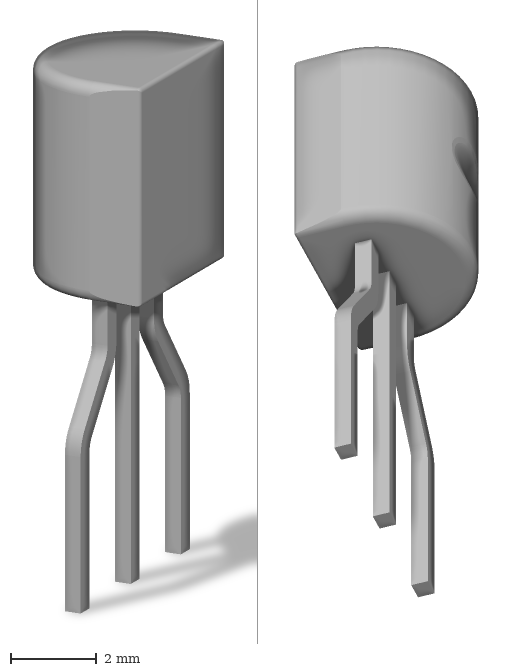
import cadquery as cq
import math


housing_height = 5.33
round_radius = 2.38
flat_face_x = 1.24
flat_half_width = 2.2
rim_radius = 0.3
flat_edge_radius = 0.1

dimple_radius = 1.3
dimple_depth = 0.15
dimple_edge_radius = 0.35
dimple_z = housing_height - 2.58

lead_width = 0.46
lead_thickness = 0.41
lead_length = 7.44
inner_pitch = 1.205
outer_pitch = 2.6
bend_start = 1.30
bend_angle = math.radians(37.8)
bend_radius = 0.77


def d_block(end_half_width):
    """Block with a round -X side, narrowing or straight sides, and a flat +X face."""
    return (
        cq.Workplane("XY")
        .moveTo(flat_face_x, -end_half_width)
        .lineTo(0, -round_radius)
        .threePointArc((-round_radius, 0), (0, round_radius))
        .lineTo(flat_face_x, end_half_width)
        .close()
        .extrude(housing_height)
    )


def make_housing():
    """D-shaped block with rounded rims, tapered sides and a dimple."""
    straight_block = d_block(round_radius)
    body = straight_block.faces("<Z or >Z").edges("not(>X)").fillet(rim_radius)
    body = body.intersect(d_block(flat_half_width))
    body = body.faces(">X").edges().fillet(flat_edge_radius)

    dimple_axis_x = -round_radius + dimple_depth - dimple_radius
    trough = (
        cq.Workplane("XZ")
        .center(dimple_axis_x, dimple_z)
        .circle(dimple_radius)
        .extrude(round_radius, both=True)
    )
    body = body.cut(trough)
    dimple_rim = cq.selectors.BoxSelector(
        (-2 * round_radius, -round_radius / 2, dimple_z - dimple_radius / 2),
        (-round_radius / 2, round_radius / 2, dimple_z + dimple_radius / 2),
    )
    return body.edges(dimple_rim).fillet(dimple_edge_radius)


def lead_profile(start_y):
    """Cross-section of a lead at the bottom of the housing."""
    return cq.Workplane("XY").center(-lead_thickness / 2, start_y).rect(lead_thickness, lead_width)


def make_straight_lead():
    return lead_profile(0).extrude(-lead_length)


def make_spread_lead(side):
    """Outer lead, bent outward and back to vertical; side is +1 for +Y and -1 for -Y."""
    spread = outer_pitch - inner_pitch
    bend_shift = bend_radius * (1 - math.cos(bend_angle))
    bend_drop = bend_radius * math.sin(bend_angle)
    half_bend_shift = bend_radius * (1 - math.cos(bend_angle / 2))
    half_bend_drop = bend_radius * math.sin(bend_angle / 2)
    slope_drop = (spread - 2 * bend_shift) / math.tan(bend_angle)
    bend_end = bend_start + 2 * bend_drop + slope_drop

    path = (
        cq.Workplane("YZ", origin=(-lead_thickness / 2, 0, 0))
        .moveTo(side * inner_pitch, 0)
        .lineTo(side * inner_pitch, -bend_start)
        .threePointArc(
            (side * (inner_pitch + half_bend_shift), -bend_start - half_bend_drop),
            (side * (inner_pitch + bend_shift), -bend_start - bend_drop),
        )
        .lineTo(side * (outer_pitch - bend_shift), -bend_end + bend_drop)
        .threePointArc(
            (side * (outer_pitch - half_bend_shift), -bend_end + half_bend_drop),
            (side * outer_pitch, -bend_end),
        )
        .lineTo(side * outer_pitch, -lead_length)
    )
    return lead_profile(side * inner_pitch).sweep(path)


housing = make_housing()
middle_lead = make_straight_lead()
spread_leads = [make_spread_lead(side) for side in (-1, 1)]

result = cq.Compound.makeCompound(
    [housing.val(), middle_lead.val(), *[lead.val() for lead in spread_leads]]
)